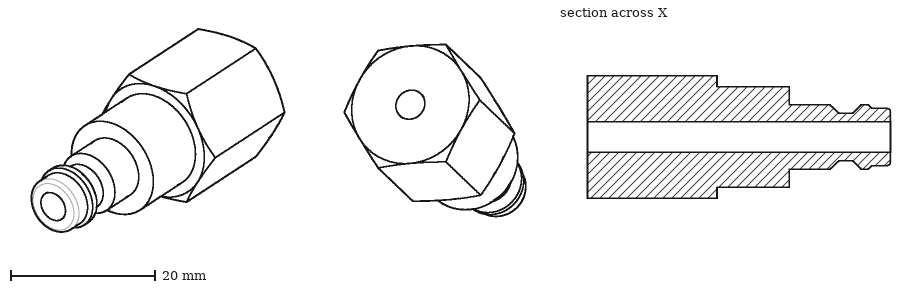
import cadquery as cq
import math

total_length = 42.0
hex_across_flats = 17.0
hex_length = 17.98
hex_chamfer_angle = math.radians(30)
hex_across_corners = hex_across_flats / math.cos(math.radians(30))

collar_diameter = 14.0
collar_length = 10.0

stem_diameter = 9.0
groove_diameter = 6.7
nose_diameter = 8.0
nose_length = 2.6
nose_round = 0.5
flange_chamfer = (stem_diameter - nose_diameter) / 2
flange_length = 1.5
groove_front_cone = 1.15
groove_length = 1.95
groove_rear_cone = 1.2
bore_diameter = 4.2

flange_rear = nose_length + flange_length
groove_front = flange_rear + groove_front_cone
groove_rear = groove_front + groove_length
stem_front = groove_rear + groove_rear_cone
hex_front = total_length - hex_length
collar_front = hex_front - collar_length


def make_hex_body():
    """Hexagon with corners on X, its corners cut by a cone at both ends."""
    prism = (
        cq.Workplane("XZ", origin=(0, hex_front, 0))
        .polygon(6, hex_across_corners)
        .extrude(-hex_length)
    )
    end_radius = hex_across_flats / 2
    corner_radius = hex_across_corners / 2
    chamfer_depth = (corner_radius - end_radius) * math.tan(hex_chamfer_angle)
    envelope = (
        cq.Workplane("XY")
        .moveTo(0, hex_front)
        .lineTo(end_radius, hex_front)
        .lineTo(corner_radius, hex_front + chamfer_depth)
        .lineTo(corner_radius, total_length - chamfer_depth)
        .lineTo(end_radius, total_length)
        .lineTo(0, total_length)
        .close()
        .revolve(360, (0, 0, 0), (0, 1, 0))
    )
    return prism.intersect(envelope)


def make_plug():
    """Turned collar and plug, revolved from a half profile."""
    nose_radius = nose_diameter / 2
    stem_radius = stem_diameter / 2
    groove_radius = groove_diameter / 2
    collar_radius = collar_diameter / 2
    return (
        cq.Workplane("XY")
        .lineTo(nose_radius - nose_round, 0)
        .radiusArc((nose_radius, nose_round), -nose_round)
        .lineTo(nose_radius, nose_length)
        .lineTo(stem_radius, nose_length + flange_chamfer)
        .lineTo(stem_radius, flange_rear)
        .lineTo(groove_radius, groove_front)
        .lineTo(groove_radius, groove_rear)
        .lineTo(stem_radius, stem_front)
        .lineTo(stem_radius, collar_front)
        .lineTo(collar_radius, collar_front)
        .lineTo(collar_radius, hex_front)
        .lineTo(0, hex_front)
        .close()
        .revolve(360, (0, 0, 0), (0, 1, 0))
    )


bore = cq.Workplane("XZ").circle(bore_diameter / 2).extrude(-total_length)

result = make_hex_body().union(make_plug()).cut(bore)